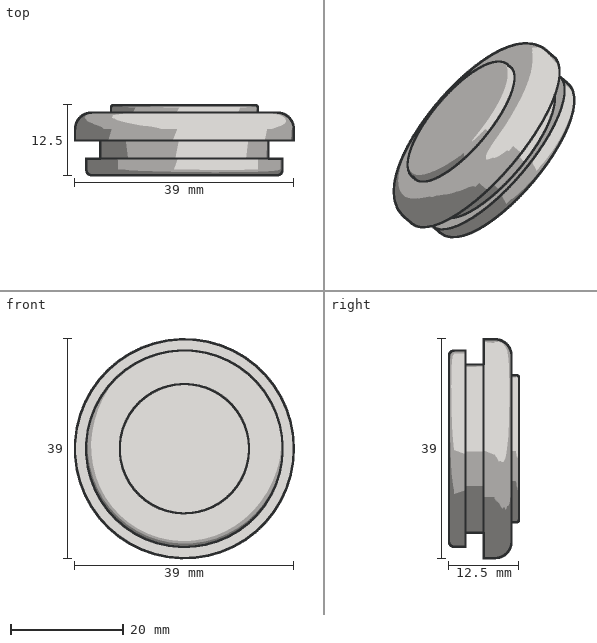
import cadquery as cq

total_length = 12.5

lip_diameter = 35.0
lip_width = 3.0
lip_fillet = 1.0

groove_diameter = 30.0
groove_width = 3.2

flange_diameter = 39.0
flange_width = 5.0
flange_fillet = 3.0

disc_diameter = 26.2
disc_width = total_length - lip_width - groove_width - flange_width
disc_fillet = 0.5

bore_diameter = 23.0
bore_depth = 10.8


def cylinder(diameter, start, length):
    """Cylinder on the Y axis running from y = start toward +Y."""
    plane = cq.Workplane("XZ", origin=(0, start, 0))
    return plane.circle(diameter / 2).extrude(-length)


groove_start = lip_width
flange_start = groove_start + groove_width
disc_start = flange_start + flange_width

lip = cylinder(lip_diameter, 0, lip_width).faces("<Y").edges().fillet(lip_fillet)
groove = cylinder(groove_diameter, groove_start, groove_width)
flange = cylinder(flange_diameter, flange_start, flange_width).faces(">Y").edges().fillet(flange_fillet)
disc = cylinder(disc_diameter, disc_start, disc_width).faces(">Y").edges().fillet(disc_fillet)
bore = cylinder(bore_diameter, 0, bore_depth)

result = lip.union(groove).union(flange).union(disc).cut(bore)